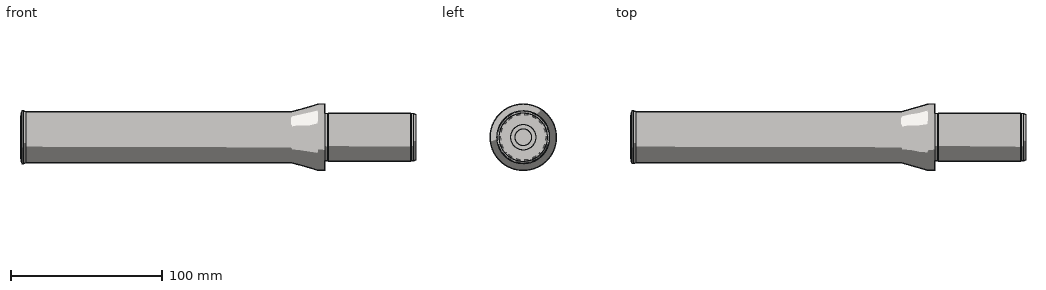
import cadquery as cq

total_length = 262.0
lip_start = 1.3
lip_end = 2.0
lip_taper_end = 3.7
collar_cone_start = 179.7
collar_rim_start = 197.0
collar_face = 201.5

handle_radius = 34.0 / 2
collar_radius = 44.0 / 2
lip_radius = 35.0 / 2
end_face_radius = 32.0 / 2

end_face_rise = 0.5
groove_outer_radius = 11.5
groove_bottom_radius = 8.5
groove_inner_radius = 5.5
groove_depth = 0.5
dimple_depth = 0.8

collar_edge_fillet = 2.0

shank_radius = 32.0 / 2
neck_radius = 31.5 / 2
neck_length = 1.8
neck_taper_length = 0.5
tip_length = 3.7
tip_step_length = 0.5
tip_chamfer_length = 1.8
tip_end_radius = 15.0


def revolve_about_x(profile_points):
    """Turn a closed (x, radius) outline about the X axis."""
    return cq.Workplane("XY").polyline(profile_points).close().revolve(360, (0, 0, 0), (1, 0, 0))


def make_handle():
    """Long round handle with a lipped end and a conical collar."""
    handle = revolve_about_x([
        (dimple_depth, 0),
        (0, groove_inner_radius),
        (groove_depth, groove_bottom_radius),
        (0, groove_outer_radius),
        (end_face_rise, end_face_radius),
        (lip_start, lip_radius),
        (lip_end, lip_radius),
        (lip_taper_end, handle_radius),
        (collar_cone_start, handle_radius),
        (collar_rim_start, collar_radius),
        (collar_face, collar_radius),
        (collar_face, 0),
    ])
    for edge_x in (collar_cone_start, collar_rim_start):
        edge_zone = cq.selectors.BoxSelector(
            (edge_x - collar_edge_fillet, -collar_radius, -collar_radius),
            (edge_x + collar_edge_fillet, collar_radius, collar_radius),
        )
        handle = handle.edges("%CIRCLE").edges(edge_zone).fillet(collar_edge_fillet)
    return handle


def make_shank():
    """Plain shank seated on the collar face, with a relieved neck and a stepped tip."""
    neck_end = collar_face + neck_length
    tip_start = total_length - tip_length
    return revolve_about_x([
        (collar_face, 0),
        (collar_face, neck_radius),
        (neck_end, neck_radius),
        (neck_end + neck_taper_length, shank_radius),
        (tip_start, shank_radius),
        (tip_start + tip_step_length, neck_radius),
        (total_length - tip_chamfer_length, neck_radius),
        (total_length, tip_end_radius),
        (total_length, 0),
    ])


handle = make_handle()
shank = make_shank()
result = cq.Compound.makeCompound([handle.val(), shank.val()])